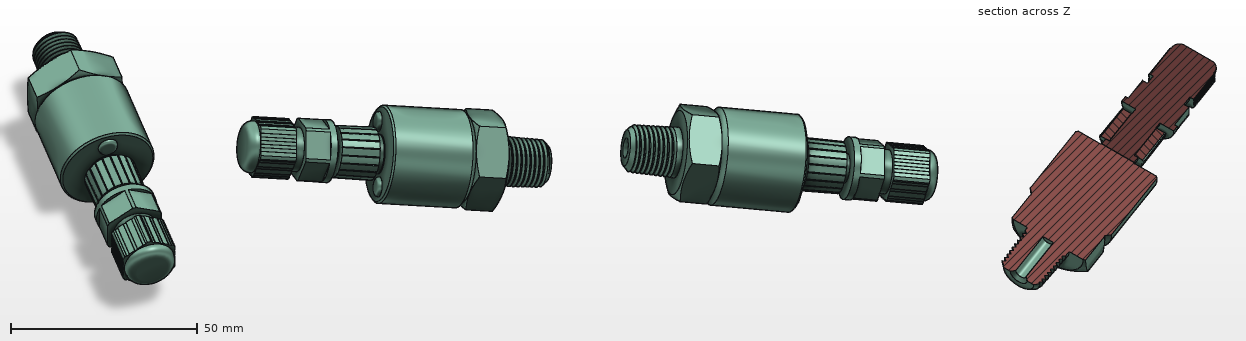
import cadquery as cq
import math


hex_sides = 6
hex_half_angle = 180 / hex_sides

tip_radius = 4.9
thread_start_radius = 6.4
thread_end_radius = 6.9
thread_pitch = 1.3
thread_turns = 10
thread_end_x = 12.8
groove_depth = 0.8
groove_width = 1.1
groove_overshoot = 0.1

bore_diameter = 3.3
countersink_diameter = 5.4

hex_start = 14.1
hex_end = 23.6
hex_across_corners = 27.7
hex_face_diameter = 22.7
hex_chamfer_angle = 25

housing_end = 47.15
housing_diameter = 26.5
housing_front_diameter = 23.8
housing_edge_chamfer = 0.5
seat_end = 47.4
seat_diameter = 10.7
screw_head_diameter = 5.4
screw_head_height = 1.1
screw_head_round = 1.0
screw_offset = 8.9

nut_start = 49.1
nut_end = 59.8
nut_start_diameter = 14.4
nut_end_diameter = 14.15
nut_groove_count = 20
nut_groove_floor_radius = 6.8
nut_groove_width = 0.35

nose_diameter = 10.6
stem_diameter = 8.0
flange_start = 61.5
flange_end = 63.4
flange_diameter = 17.0
wrench_end = 70.1
wrench_flats = 15.2
gland_neck_diameter = 12.0
cap_start = 72.8
cap_end = 82.8
cap_flats = 14.75
cap_corner_diameter = 16.5
dome_diameter = 14.0
dome_end = 85.7
dome_round = 2.5

cap_groove_depth = 0.2
front_groove_width = 1.0
front_groove_pitch = 2.0
side_groove_width = 0.9
side_groove_pitch = 2.7


def cylinder_x(start, end, diameter):
    """Cylinder on the X axis from start to end."""
    return cq.Workplane("YZ", origin=(start, 0, 0)).circle(diameter / 2).extrude(end - start)


def turned(profile):
    """Solid of revolution about the X axis from (x, radius) points."""
    return cq.Workplane("XY").polyline(profile).close().revolve(360, (0, 0, 0), (1, 0, 0))


def hexagon_x(start, end, flats):
    """Hexagonal prism on the X axis with flats facing +Y and -Y."""
    corners = flats / math.cos(math.radians(hex_half_angle))
    prism = cq.Workplane("YZ", origin=(start, 0, 0)).polygon(hex_sides, corners).extrude(end - start)
    return prism.rotate((0, 0, 0), (1, 0, 0), hex_half_angle)


def thread_groove():
    """V groove on a tapered right-hand helix; it runs out above the axis."""
    length = thread_turns * thread_pitch
    taper_start = thread_start_radius - tip_radius
    taper = (thread_end_radius - thread_start_radius) / (hex_start - taper_start)
    start_x = thread_end_x - length
    start_radius = thread_start_radius + taper * (start_x - taper_start)
    path = cq.Wire.makeHelix(thread_pitch, length, start_radius, angle=math.degrees(math.atan(taper)))
    outer = start_radius + groove_overshoot
    half_width = groove_width / 2 * (1 + groove_overshoot / groove_depth)
    groove = (
        cq.Workplane("XZ")
        .polyline([(start_radius - groove_depth, 0), (outer, half_width), (outer, -half_width)])
        .close()
        .sweep(cq.Workplane(path), isFrenet=True)
    )
    along_x = groove.rotate((0, 0, 0), (0, 1, 0), 90).rotate((0, 0, 0), (1, 0, 0), 180)
    return along_x.translate((start_x, 0, 0))


def make_spigot():
    """Tapered spigot with a chamfered tip and a cut thread."""
    blank = turned([
        (0, 0),
        (0, tip_radius),
        (thread_start_radius - tip_radius, thread_start_radius),
        (hex_start, thread_end_radius),
        (hex_start, 0),
    ])
    return blank.cut(thread_groove())


def make_sensor_hexagon():
    """Hexagon with its corners toward +Z and -Z, chamfered at both ends."""
    flats = hex_across_corners * math.cos(math.radians(hex_half_angle))
    face_radius = hex_face_diameter / 2
    corner_radius = hex_across_corners / 2
    back_radius = housing_front_diameter / 2
    slope = math.tan(math.radians(hex_chamfer_angle))
    envelope = turned([
        (hex_start, 0),
        (hex_start, face_radius),
        (hex_start + slope * (corner_radius - face_radius), corner_radius),
        (hex_end - slope * (corner_radius - back_radius), corner_radius),
        (hex_end, back_radius),
        (hex_end, 0),
    ])
    return hexagon_x(hex_start, hex_end, flats).intersect(envelope)


def make_housing():
    radius = housing_diameter / 2
    front_radius = housing_front_diameter / 2
    return turned([
        (hex_end, 0),
        (hex_end, front_radius),
        (hex_end + radius - front_radius, radius),
        (housing_end - housing_edge_chamfer, radius),
        (housing_end, radius - housing_edge_chamfer),
        (housing_end, 0),
    ])


def make_screw_head(height_z):
    head = cylinder_x(housing_end, housing_end + screw_head_height, screw_head_diameter)
    return head.faces(">X").edges().fillet(screw_head_round).translate((0, 0, height_z))


def make_bore():
    bore_radius = bore_diameter / 2
    countersink_radius = countersink_diameter / 2
    return turned([
        (0, 0),
        (0, countersink_radius),
        (countersink_radius - bore_radius, bore_radius),
        (hex_start, bore_radius),
        (hex_start, 0),
    ])


def make_sensor():
    sensor = make_spigot().union(make_sensor_hexagon()).union(make_housing())
    sensor = sensor.union(cylinder_x(housing_end, seat_end, seat_diameter))
    for side in (-1, 1):
        sensor = sensor.union(make_screw_head(side * screw_offset))
    return sensor.cut(make_bore())


def make_coupling_nut():
    """Tapered ring with axial V grooves, fitted around the gland stem."""
    nut = turned([
        (nut_start, 0),
        (nut_start, nut_start_diameter / 2),
        (nut_end, nut_end_diameter / 2),
        (nut_end, 0),
    ])
    groove_top = nut_start_diameter / 2
    groove = (
        cq.Workplane("YZ", origin=(nut_start, 0, 0))
        .polyline([
            (0, nut_groove_floor_radius),
            (nut_groove_width / 2, groove_top),
            (-nut_groove_width / 2, groove_top),
        ])
        .close()
        .extrude(nut_end - nut_start)
    )
    for index in range(nut_groove_count):
        nut = nut.cut(groove.rotate((0, 0, 0), (1, 0, 0), index * 360 / nut_groove_count))
    return nut.cut(cylinder_x(nut_start, nut_end, stem_diameter))


def make_gland_cap():
    """Six-sided cap with rounded corners and three shallow grip grooves per face."""
    cap = hexagon_x(cap_start, cap_end, cap_flats)
    cap = cap.intersect(cylinder_x(cap_start, cap_end, cap_corner_diameter))
    for face in range(hex_sides):
        faces_y = face in (0, hex_sides // 2)
        width = front_groove_width if faces_y else side_groove_width
        pitch = front_groove_pitch if faces_y else side_groove_pitch
        grooves = (
            cq.Workplane("YZ", origin=(cap_start, cap_flats / 2, 0))
            .pushPoints([(0, -pitch), (0, 0), (0, pitch)])
            .rect(2 * cap_groove_depth, width)
            .extrude(cap_end - cap_start)
        )
        cap = cap.cut(grooves.rotate((0, 0, 0), (1, 0, 0), 360 / hex_sides * face))
    return cap


def make_cable_gland():
    """Plug nose on the sensor seat, stem through the nut, wrench flats and domed cap."""
    gland = cylinder_x(seat_end, nut_start, nose_diameter)
    gland = gland.union(cylinder_x(nut_start, flange_start, stem_diameter))
    gland = gland.union(cylinder_x(flange_start, flange_end, flange_diameter))
    wrench = hexagon_x(flange_end, wrench_end, wrench_flats)
    gland = gland.union(wrench.intersect(cylinder_x(flange_end, wrench_end, flange_diameter)))
    gland = gland.union(cylinder_x(wrench_end, cap_start, gland_neck_diameter))
    gland = gland.union(make_gland_cap())
    dome = cylinder_x(cap_end, dome_end, dome_diameter).faces(">X").edges().fillet(dome_round)
    return gland.union(dome)


sensor = make_sensor()
coupling_nut = make_coupling_nut()
cable_gland = make_cable_gland()

result = cq.Compound.makeCompound([sensor.val(), coupling_nut.val(), cable_gland.val()])